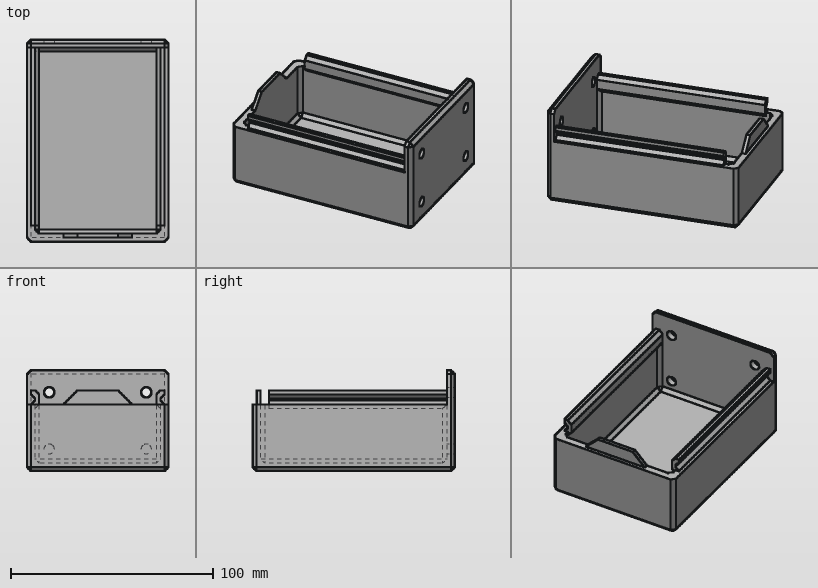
import cadquery as cq

length_x = 70.0
length_y = 100.0
plate_height = 50.0
tray_height = 33.0
wall = 4.0
bevel = 2.0

lip_height = 7.0
rail_outset = 2.0
rail_inset = 6.0
rail_front_gap = 8.0
groove_depth = 2.0
groove_flat = 1.0

tab_base_width = 34.0
tab_top_width = 20.0
tab_thickness = 2.0

hole_diameter = 5.0
hole_spacing_x = 48.0
hole_spacing_z = 28.0

half_x = length_x / 2
half_y = length_y / 2
lip_top = tray_height + lip_height
inner_front = -half_y + wall
inner_back = half_y - wall


def make_tray():
    """Bevelled block lowered in front of the back plate, with a bevelled cavity."""
    body = cq.Workplane("XY").box(length_x, length_y, plate_height, centered=(True, True, False))
    body = body.edges().chamfer(bevel)
    space_over_tray = cq.Workplane("XY", origin=(0, -wall, tray_height)).box(
        length_x, length_y, plate_height, centered=(True, True, False)
    )
    cavity = (
        cq.Workplane("XY", origin=(0, 0, wall))
        .box(length_x - 2 * wall, length_y - 2 * wall, tray_height - wall, centered=(True, True, False))
        .edges("|Z or <Z")
        .chamfer(bevel)
    )
    return body.cut(space_over_tray).cut(cavity)


def make_rail(side):
    """Grooved snap rail with a sloped underside; side is -1 for left, 1 for right."""
    outer = half_x - rail_outset
    inner = half_x - rail_inset
    groove = outer - groove_depth
    groove_bottom = tray_height + groove_depth
    groove_top = groove_bottom + groove_flat
    wall_face = half_x - wall
    profile = [
        (outer, tray_height),
        (groove, groove_bottom),
        (groove, groove_top),
        (outer, groove_top + groove_depth),
        (outer, lip_top),
        (inner + bevel, lip_top),
        (inner, lip_top - bevel),
        (inner, tray_height),
        (wall_face, tray_height - (wall_face - inner)),
        (outer, tray_height - (wall_face - inner)),
    ]
    rail_length = inner_back - (-half_y + rail_front_gap)
    return (
        cq.Workplane("XZ", origin=(0, inner_back, 0))
        .polyline([(side * x, z) for x, z in profile])
        .close()
        .extrude(rail_length)
    )


def make_tab():
    """Trapezoidal tab flush with the inside of the front wall."""
    return (
        cq.Workplane("XZ", origin=(0, inner_front, 0))
        .polyline([
            (-tab_base_width / 2, tray_height),
            (-tab_top_width / 2, lip_top),
            (tab_top_width / 2, lip_top),
            (tab_base_width / 2, tray_height),
        ])
        .close()
        .extrude(tab_thickness)
    )


def make_mounting_holes():
    """Four pins that drill the back plate."""
    return (
        cq.Workplane("XZ", origin=(0, half_y, plate_height / 2))
        .rarray(hole_spacing_x, hole_spacing_z, 2, 2)
        .circle(hole_diameter / 2)
        .extrude(wall)
    )


result = make_tray()
for rail_side in (-1, 1):
    result = result.union(make_rail(rail_side))
result = result.union(make_tab()).cut(make_mounting_holes())